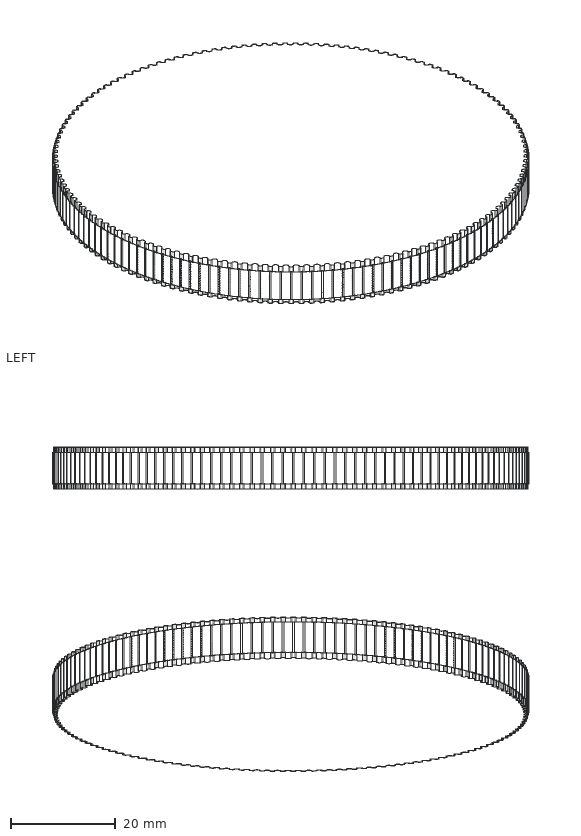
import cadquery as cq
import math

TOOTH_COUNT = 143
TOOTH_PITCH = 2.0
DISC_HEIGHT = 8.0
PITCH_LINE_OFFSET = 0.254

GROOVE_DEPTH = 0.75
GROOVE_BOTTOM_RADIUS = 0.555
LIP_RADIUS = 0.22

BAND_THICKNESS = 0.02
RIM_HEIGHT = 1.0
PAD_WIDTH = 0.3
PAD_OVERLAP = 0.05

pitch_radius = TOOTH_COUNT * TOOTH_PITCH / (2 * math.pi)
tip_radius = pitch_radius - PITCH_LINE_OFFSET
root_radius = tip_radius - GROOVE_DEPTH
band_inner_radius = pitch_radius - BAND_THICKNESS
band_height = DISC_HEIGHT - 2 * RIM_HEIGHT
pitch_angle = 360 / TOOTH_COUNT


def turned(point, angle):
    """Point turned about the disc axis by an angle in degrees."""
    x, y = point
    sine = math.sin(math.radians(angle))
    cosine = math.cos(math.radians(angle))
    return (x * cosine - y * sine, x * sine + y * cosine)


def mirrored(point):
    """Point on the other side of the groove centre line."""
    return (-point[0], point[1])


def lip_arc():
    """Start, middle and end of the right-hand lip, tangent to the wall and to the tip circle."""
    centre_x = GROOVE_BOTTOM_RADIUS + LIP_RADIUS
    centre_y = -math.sqrt((tip_radius - LIP_RADIUS) ** 2 - centre_x**2)
    start_direction = -math.pi
    end_direction = math.atan2(centre_y, centre_x)
    middle_direction = (start_direction + end_direction) / 2

    def on_lip(direction):
        return (
            centre_x + LIP_RADIUS * math.cos(direction),
            centre_y + LIP_RADIUS * math.sin(direction),
        )

    return on_lip(start_direction), on_lip(middle_direction), on_lip(end_direction)


def toothed_disc():
    """Disc with a groove and a tooth tip per pitch, the first groove centred on -Y."""
    root = (0, -root_radius)
    wall_start = (GROOVE_BOTTOM_RADIUS, -root_radius - GROOVE_BOTTOM_RADIUS)
    wall_end, lip_middle, tip_start = lip_arc()
    tip_middle = turned((0, -tip_radius), pitch_angle / 2)
    tip_end = turned(mirrored(tip_start), pitch_angle)

    outline = cq.Workplane("XY").moveTo(*mirrored(tip_start))
    for index in range(TOOTH_COUNT):
        angle = index * pitch_angle
        outline = (
            outline.threePointArc(turned(mirrored(lip_middle), angle), turned(mirrored(wall_end), angle))
            .lineTo(*turned(mirrored(wall_start), angle))
            .threePointArc(turned(root, angle), turned(wall_start, angle))
            .lineTo(*turned(wall_end, angle))
            .threePointArc(turned(lip_middle, angle), turned(tip_start, angle))
            .threePointArc(turned(tip_middle, angle), turned(tip_end, angle))
        )
    return outline.close().extrude(DISC_HEIGHT)


def band():
    """Thin ring with an inward pad over every tooth tip, open behind the grooves."""
    half_pad = PAD_WIDTH / 2
    pad_inner_y = PAD_OVERLAP - tip_radius
    pad_outer_y = -math.sqrt(band_inner_radius**2 - half_pad**2)
    pad_start = (-half_pad, pad_outer_y)
    gap_middle = turned((0, -band_inner_radius), pitch_angle / 2)
    gap_end = turned(pad_start, pitch_angle)

    inside = cq.Workplane("XY").moveTo(*turned(pad_start, pitch_angle / 2))
    for index in range(TOOTH_COUNT):
        angle = (index + 0.5) * pitch_angle
        inside = (
            inside.lineTo(*turned((-half_pad, pad_inner_y), angle))
            .lineTo(*turned((half_pad, pad_inner_y), angle))
            .lineTo(*turned((half_pad, pad_outer_y), angle))
            .threePointArc(turned(gap_middle, angle), turned(gap_end, angle))
        )
    ring = inside.close().circle(pitch_radius).extrude(band_height)
    return ring.translate((0, 0, RIM_HEIGHT))


result = toothed_disc().union(band(), clean=False)